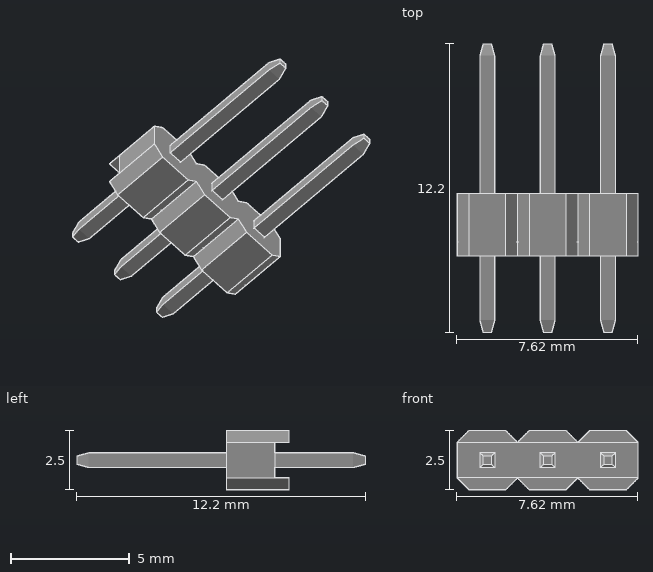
import cadquery as cq

pin_count = 3
pitch = 2.54
housing_height = 2.5
housing_depth = 2.64
corner_chamfer = 0.5
recess_depth = 0.6
recess_height = 1.47
pin_length = 12.15
pin_width = 0.63
tip_length = 0.51
tip_width = 0.35
front_pin_reach = 3.22

pin_front = -pin_length / 2
housing_front = pin_front + front_pin_reach
housing_width = pin_count * pitch
pin_positions = [(i - (pin_count - 1) / 2) * pitch for i in range(pin_count)]


def box_along_y(width, height, front, length, x=0.0):
    """Box centred on X = x and Z = 0 that starts at Y = front."""
    return cq.Workplane("XY").box(width, length, height).translate((x, front + length / 2, 0))


def make_segment(x):
    """Chamfered housing block around one pin."""
    block = box_along_y(pitch, housing_height, housing_front, housing_depth, x)
    return block.edges("|Y").chamfer(corner_chamfer)


def make_housing():
    """Row of joined segments, recessed across the front and bored for the pins."""
    housing = make_segment(pin_positions[0])
    for x in pin_positions[1:]:
        housing = housing.union(make_segment(x))
    housing = housing.cut(box_along_y(housing_width, recess_height, housing_front, recess_depth))
    for x in pin_positions:
        housing = housing.cut(box_along_y(pin_width, pin_width, housing_front, housing_depth, x))
    return housing


def make_tip(base_y, end_y):
    """Square tapered tip that narrows from base_y to end_y."""
    return (
        cq.Workplane("XZ", origin=(0, base_y, 0))
        .rect(pin_width, pin_width)
        .workplane(offset=base_y - end_y)
        .rect(tip_width, tip_width)
        .loft(ruled=True)
    )


def make_pin(x):
    """Square pin with a tapered tip at each end."""
    shank_front = pin_front + tip_length
    shank_rear = -shank_front
    pin = box_along_y(pin_width, pin_width, shank_front, shank_rear - shank_front)
    pin = pin.union(make_tip(shank_front, pin_front))
    pin = pin.union(make_tip(shank_rear, -pin_front))
    return pin.translate((x, 0, 0))


housing = make_housing()
pins = [make_pin(x) for x in pin_positions]
result = cq.Compound.makeCompound([housing.val(), *[pin.val() for pin in pins]])